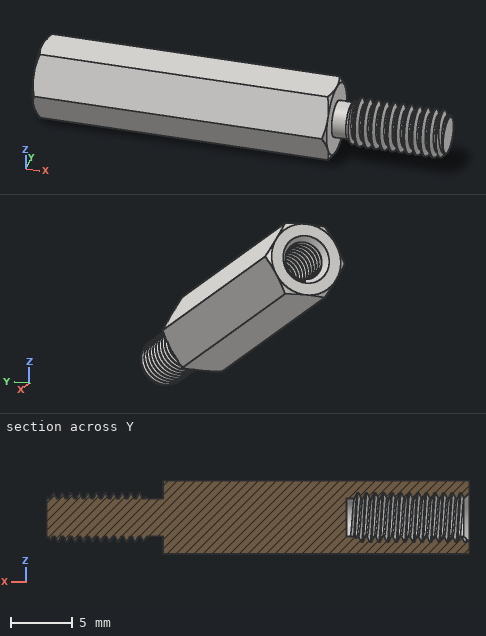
import cadquery as cq
import math

total_length = 34.5
body_length = 25.0
across_flats = 6.0
corner_bevel_angle = 30.0

thread_major = 4.0
thread_minor = 3.07
crest_span = 7.0
pitches_in_span = 10
pitch = crest_span / pitches_in_span
root_width = 0.62
crest_width = 0.1
root_overlap = 0.07
envelope_margin = 0.35

neck_length = 1.2
stud_crest_offset = 0.162
hole_depth = 10.0

major_radius = thread_major / 2
minor_radius = thread_minor / 2
thread_depth = major_radius - minor_radius
across_corners = across_flats / math.cos(math.radians(30))


def revolve_about_x(points):
    """Solid of revolution from (x, radius) points."""
    return cq.Workplane("XY").polyline(points).close().revolve(360, (0, 0, 0), (1, 0, 0))


def helical_ridge(start, turns):
    """Thread ridge winding about X, beginning on the -Z side at x = start."""
    path = cq.Wire.makeHelix(pitch, turns * pitch, minor_radius)
    profile = cq.Workplane("XZ").polyline([
        (minor_radius - root_overlap, -root_width / 2),
        (major_radius, -crest_width / 2),
        (major_radius, crest_width / 2),
        (minor_radius - root_overlap, root_width / 2),
    ]).close()
    ridge = profile.sweep(path, isFrenet=True)
    return ridge.rotate((0, 0, 0), (0, 1, 0), 90).translate((start, 0, 0))


def make_body():
    """Hexagonal bar with its corners bevelled by a cone at both ends."""
    bar = cq.Workplane("YZ").polygon(6, across_corners).extrude(body_length)
    face_radius = across_flats / 2
    outer_radius = across_corners / 2 + envelope_margin
    bevel_length = (outer_radius - face_radius) * math.tan(math.radians(corner_bevel_angle))
    envelope = revolve_about_x([
        (0, 0), (0, face_radius), (bevel_length, outer_radius),
        (body_length - bevel_length, outer_radius), (body_length, face_radius), (body_length, 0),
    ])
    return bar.intersect(envelope)


def make_stud():
    """Plain neck followed by a thread that tapers to its root at both ends."""
    core = cq.Workplane("YZ").workplane(offset=body_length).circle(minor_radius)
    core = core.extrude(total_length - body_length)
    thread_start = body_length + neck_length
    first_crest = body_length + stud_crest_offset + pitch
    turns = math.ceil((total_length - first_crest) / pitch) + 1
    taper_length = 2 * thread_depth
    envelope = revolve_about_x([
        (thread_start, 0), (thread_start, minor_radius),
        (thread_start + taper_length, minor_radius + taper_length),
        (total_length - taper_length, minor_radius + taper_length),
        (total_length, minor_radius), (total_length, 0),
    ])
    return core.union(helical_ridge(first_crest, turns).intersect(envelope))


def make_tapped_hole():
    """Cutter for the blind hole: bore, countersunk mouth and thread groove."""
    bore = cq.Workplane("YZ").circle(minor_radius).extrude(hole_depth)
    countersink = revolve_about_x([(0, 0), (0, major_radius), (thread_depth, minor_radius), (thread_depth, 0)])
    turns = math.floor(hole_depth / pitch) - 1
    return bore.union(helical_ridge(pitch / 2, turns)).union(countersink)


result = make_body().union(make_stud()).cut(make_tapped_hole())